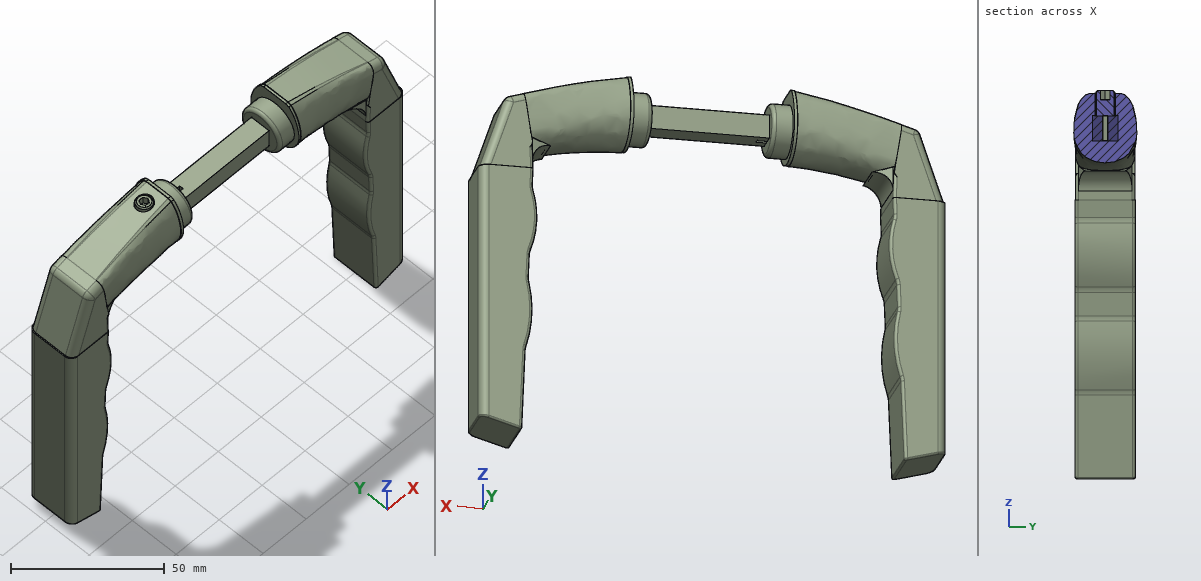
import cadquery as cq
import math


grip_back_x = -78.0
grip_width = 19.7
grip_top_z = -23.3
grip_top_front_x = -60.1
grip_bottom_back_z = -110.4
grip_bottom_front_x = -63.9
grip_bottom_front_z = -114.35
grip_back_fillet = 3.0
grip_front_fillet = 1.0
grip_bottom_fillet = 0.6
finger_bumps = [(-30.0, -52.5, 2.0), (-62.0, -86.0, 1.75)]
bump_blend = 6.0

elbow_width = 19.5
elbow_fillet = 3.0
elbow_back_step = 0.45
elbow_corner = (-69.1, 1.4)
elbow_top = (-63.2, 3.15)
elbow_bottom = (-60.4, -14.7)
throat_back_x = -66.0

rim_face_x = -26.8
rim_thickness = 1.1
rim_top_drop = 0.2
rim_overhang = 0.3
rim_half_width = 10.95
rim_top_z = 12.84
rim_bottom_z = -rim_half_width
rim_half_section = [
    (5.0, 0.0),
    (6.4, 0.5),
    (8.1, 2.6),
    (9.25, 4.7),
    (10.3, 7.8),
    (rim_half_width, rim_top_z),
    (7.75, 20.6),
    (0.0, rim_top_z - rim_bottom_z),
]
elbow_half_section = [
    (6.5, 0.0),
    (6.75, 0.0),
    (8.87, 0.88),
    (9.75, 3.0),
    (9.75, 9.0),
    (9.4, 13.5),
    (7.2, 16.9),
    (0.0, 18.0),
]
neck_crown = 0.8
armpit_radius = 6.5
armpit_grip_x = -60.2
armpit_overlap = 0.8
armpit_root = 1.0
armpit_top_z = -12.0
armpit_half_width = elbow_width / 2 - grip_front_fillet
armpit_neck_half_width = 6.5
collar_diameter = 17.8
collar_end_x = -20.0
collar_fillet = 1.3

spindle_side = 8.0
spindle_end_x = 40.0
slot_width = 1.5
slot_end_x = -16.7

screw_x = -34.0
screw_diameter = 6.0
screw_rim_diameter = 5.0
screw_hole_diameter = 6.6
screw_top_z = 12.3
screw_socket_flats = 3.0
screw_socket_depth = 3.0


def grip_front_x(z):
    """X of the straight tapered front line of the grip at height z."""
    share = (z - grip_top_z) / (grip_bottom_front_z - grip_top_z)
    return grip_top_front_x + share * (grip_bottom_front_x - grip_top_front_x)


def fillet_edges(body, points, radius):
    """Round the edges of the body whose middles lie nearest to the given points."""
    solid = body.val()
    edges = [body.edges(cq.selectors.NearestToPointSelector(point)).val() for point in points]
    return cq.Workplane(solid.fillet(radius, edges))


def make_grip():
    """Tapered handle bar with two finger bumps and rounded edges."""
    half = grip_width / 2
    outline = (
        cq.Workplane("XZ", origin=(0, half, 0))
        .moveTo(grip_back_x, grip_bottom_back_z)
        .lineTo(grip_back_x, grip_top_z)
        .lineTo(grip_top_front_x, grip_top_z)
    )
    for upper_z, lower_z, height in finger_bumps:
        middle_z = (upper_z + lower_z) / 2
        outline = outline.lineTo(grip_front_x(upper_z), upper_z).threePointArc(
            (grip_front_x(middle_z) + height, middle_z), (grip_front_x(lower_z), lower_z)
        )
    grip = outline.lineTo(grip_bottom_front_x, grip_bottom_front_z).close().extrude(grip_width)

    bump_ends = []
    for bump in finger_bumps:
        for z in bump[:2]:
            bump_ends.append((grip_front_x(z), 0, z))
    grip = fillet_edges(grip, bump_ends, bump_blend)

    back_z = (grip_top_z + grip_bottom_back_z) / 2
    front_z = (grip_top_z + finger_bumps[0][0]) / 2
    grip = fillet_edges(grip, [(grip_back_x, y, back_z) for y in (-half, half)], grip_back_fillet)
    for y in (-half, half):
        grip = fillet_edges(grip, [(grip_front_x(front_z), y, front_z)], grip_front_fillet)
    bottom_middle = (
        (grip_back_x + grip_bottom_front_x) / 2, 0, (grip_bottom_back_z + grip_bottom_front_z) / 2
    )
    bottom_face = grip.faces(cq.selectors.NearestToPointSelector(bottom_middle))
    return bottom_face.edges().fillet(grip_bottom_fillet)


def make_elbow():
    """Slanted block above the grip, rounded along its outer edges."""
    half = elbow_width / 2
    heel = (grip_back_x + elbow_back_step, grip_top_z)
    elbow = (
        cq.Workplane("XZ", origin=(0, half, 0))
        .polyline([heel, elbow_corner, elbow_top, elbow_bottom, (throat_back_x, grip_top_z)])
        .close()
        .extrude(elbow_width)
    )
    outer_edges = []
    for start, end in [(heel, elbow_corner), (elbow_corner, elbow_top)]:
        for y in (-half, half):
            outer_edges.append(((start[0] + end[0]) / 2, y, (start[1] + end[1]) / 2))
    outer_edges.append((elbow_corner[0], 0, elbow_corner[1]))
    return fillet_edges(elbow, outer_edges, elbow_fillet).union(make_throat())


def make_throat():
    """Front of the elbow between the neck and the grip, with its rounded front edges."""
    half = elbow_width / 2
    front_middle = ((elbow_bottom[0] + grip_top_front_x) / 2, (elbow_bottom[1] + grip_top_z) / 2)
    throat = (
        cq.Workplane("XZ", origin=(0, half, 0))
        .polyline([
            (throat_back_x, grip_top_z),
            (throat_back_x, elbow_bottom[1]),
            elbow_bottom,
            (grip_top_front_x, grip_top_z),
        ])
        .close()
        .extrude(elbow_width)
    )
    front_edges = [(front_middle[0], y, front_middle[1]) for y in (-half, half)]
    return fillet_edges(throat, front_edges, grip_front_fillet)


def neck_section(top, bottom, half_section):
    """Closed wire, symmetric about Y = 0, between two (x, z) points.

    A straight top flat and two straight shoulders; one smooth curve around the rest.
    """
    lean = (bottom[0] - top[0]) / (top[1] - bottom[1])
    left = [cq.Vector(top[0] + lean * drop, -width, top[1] - drop) for width, drop in half_section]
    right = [cq.Vector(point.x, -point.y, point.z) for point in left]
    around = left[1:] + right[-2:0:-1]
    return cq.Wire.assembleEdges([
        cq.Edge.makeLine(right[0], left[0]),
        cq.Edge.makeLine(left[0], left[1]),
        cq.Edge.makeSpline(around),
        cq.Edge.makeLine(right[1], right[0]),
    ])


def make_neck():
    """Smooth loft from the elbow, over a raised middle section, to the back of the rim."""
    start_x = rim_face_x - rim_thickness
    start_top = (start_x, rim_top_z - rim_top_drop)
    start_bottom = (start_x, rim_bottom_z)
    width_share = 1 - rim_overhang / rim_half_width
    start_half = [(width * width_share, drop) for width, drop in rim_half_section]

    middle_half = []
    for start, end in zip(start_half, elbow_half_section):
        middle_half.append(tuple((a + b) / 2 for a, b in zip(start, end)))
    middle_top = ((start_top[0] + elbow_top[0]) / 2, (start_top[1] + elbow_top[1]) / 2 + neck_crown)
    middle_bottom = tuple((a + b) / 2 for a, b in zip(start_bottom, elbow_bottom))

    wires = [
        neck_section(elbow_top, elbow_bottom, elbow_half_section),
        neck_section(middle_top, middle_bottom, middle_half),
        neck_section(start_top, start_bottom, start_half),
    ]
    return cq.Workplane(cq.Solid.makeLoft(wires))


def make_rim_and_collar():
    """Thin rim that overhangs the neck, and the round collar in front of it."""
    outline = neck_section((rim_face_x, rim_top_z), (rim_face_x, rim_bottom_z), rim_half_section)
    rim = cq.Workplane(cq.Solid.extrudeLinear(outline, [], cq.Vector(-rim_thickness, 0, 0)))
    collar = (
        cq.Workplane("YZ", origin=(rim_face_x, 0, 0))
        .circle(collar_diameter / 2)
        .extrude(collar_end_x - rim_face_x)
        .faces(">X")
        .edges()
        .fillet(collar_fillet)
    )
    return rim.union(collar)


def make_armpit():
    """Web with a concave round that joins the underside of the neck to the grip."""
    grip_end = (armpit_grip_x, elbow_bottom[1] - armpit_radius + armpit_overlap)
    neck_end = (grip_end[0] + armpit_radius, grip_end[1] + armpit_radius)
    middle_share = math.sqrt(0.5)
    middle = (neck_end[0] - armpit_radius * middle_share, grip_end[1] + armpit_radius * middle_share)
    back_x = elbow_bottom[0] - armpit_root
    web = (
        cq.Workplane("XZ", origin=(0, armpit_half_width, 0))
        .moveTo(*grip_end)
        .threePointArc(middle, neck_end)
        .lineTo(back_x, armpit_top_z)
        .lineTo(back_x, grip_end[1])
        .close()
        .extrude(2 * armpit_half_width)
    )
    taper = (
        cq.Workplane("XY", origin=(0, 0, grip_end[1]))
        .polyline([
            (back_x, -armpit_half_width),
            (grip_end[0], -armpit_half_width),
            (neck_end[0], -armpit_neck_half_width),
            (neck_end[0], armpit_neck_half_width),
            (grip_end[0], armpit_half_width),
            (back_x, armpit_half_width),
        ])
        .close()
        .extrude(armpit_top_z - grip_end[1])
    )
    return web.intersect(taper)


def make_handle():
    """Left handle with the square socket for the spindle."""
    socket = cq.Workplane("YZ", origin=(-spindle_end_x, 0, 0)).rect(spindle_side, spindle_side)
    return (
        make_elbow()
        .union(make_neck())
        .union(make_armpit())
        .union(make_rim_and_collar())
        .union(make_grip())
        .cut(socket.extrude(spindle_end_x))
    )


def make_spindle():
    """Square bar with a slot through the end under the set screw."""
    spindle = cq.Workplane("XY").box(2 * spindle_end_x, spindle_side, spindle_side)
    slot_length = spindle_end_x + slot_end_x
    slot = cq.Workplane("XY").box(slot_length, slot_width, spindle_side)
    return spindle.cut(slot.translate((slot_end_x - slot_length / 2, 0, 0)))


def make_screw():
    """Hexagon socket set screw that stands on the spindle."""
    return (
        cq.Workplane("XY", origin=(screw_x, 0, spindle_side / 2))
        .circle(screw_diameter / 2)
        .extrude(screw_top_z - spindle_side / 2)
        .faces(">Z")
        .edges()
        .chamfer((screw_diameter - screw_rim_diameter) / 2)
        .faces(">Z")
        .workplane()
        .polygon(6, screw_socket_flats / math.cos(math.pi / 6))
        .cutBlind(-screw_socket_depth)
    )


def make_screw_hole():
    """Clearance for the set screw, from the spindle socket up through the top of the neck."""
    base = cq.Workplane("XY", origin=(screw_x, 0, 0))
    return base.circle(screw_hole_diameter / 2).extrude(rim_top_z)


plain_handle = make_handle()
left_handle = plain_handle.cut(make_screw_hole())
right_handle = plain_handle.mirror("YZ")
spindle = make_spindle()
set_screw = make_screw()

result = cq.Compound.makeCompound(
    [left_handle.val(), right_handle.val(), spindle.val(), set_screw.val()]
)